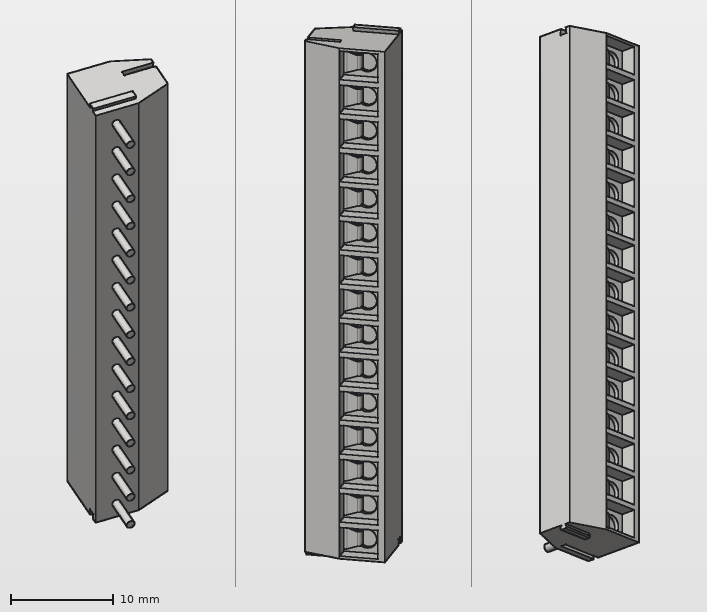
import cadquery as cq
import math

total_height = 53.45
total_width = 10.3
body_depth = 8.4
body_width = 6.85

pole_count = 15
pole_pitch = 3.5

shoulder_y = 4.6
crown_x_min = 1.35
crown_x_max = 5.35

rail_height = 0.45
tongue_height = 0.5
tongue_waist_ratio = 2 / 3
slot_depth = 0.65
dovetail_wide = 0.85
dovetail_narrow = 0.6
rail_x = 5.85
tongue_x = 2.2
rail_length = 4.6
tongue_length = 3.35

chamber_y_min = 0.7
chamber_y_max = 4.55
chamber_height = 2.95
chamber_depth = 1.6

screw_radius = 0.95
screw_y = 2.2
screw_depth = 0.5

leaf_y_min = 2.7
leaf_thickness = 0.4
leaf_wide_end = 2.45
leaf_narrow_end = 1.5
leaf_neck_y = leaf_y_min + leaf_thickness

pin_diameter = 0.85
pin_y = 2.2

body_height = total_height - rail_height - tongue_height
body_z_min = -body_height / 2
body_z_max = body_height / 2
pole_levels = [(i - (pole_count - 1) / 2) * pole_pitch for i in range(pole_count)]


def make_housing():
    outline = [
        (0, 0),
        (body_width, 0),
        (body_width, shoulder_y),
        (crown_x_max, body_depth),
        (crown_x_min, body_depth),
        (0, shoulder_y),
    ]
    base = cq.Workplane("XY", origin=(0, 0, body_z_min))
    return base.polyline(outline).close().extrude(body_height)


def make_bar(profile, y_min, length):
    """Straight bar along +Y from an outline given as (x, z) points."""
    return cq.Workplane("XZ", origin=(0, y_min, 0)).polyline(profile).close().extrude(-length)


def make_dovetail(center_x, base_z, rise, y_min, length):
    """Dovetail that is narrow at base_z and wide after rising by the signed height."""
    narrow = dovetail_narrow / 2
    wide = dovetail_wide / 2
    profile = [
        (center_x - narrow, base_z),
        (center_x + narrow, base_z),
        (center_x + wide, base_z + rise),
        (center_x - wide, base_z + rise),
    ]
    return make_bar(profile, y_min, length)


def make_tongue():
    """Six-sided tongue under the housing, widest at its waist."""
    narrow = dovetail_narrow / 2
    wide = dovetail_wide / 2
    waist_z = body_z_min - tongue_height * tongue_waist_ratio
    tip_z = body_z_min - tongue_height
    profile = [
        (tongue_x - narrow, body_z_min),
        (tongue_x + narrow, body_z_min),
        (tongue_x + wide, waist_z),
        (tongue_x + narrow, tip_z),
        (tongue_x - narrow, tip_z),
        (tongue_x - wide, waist_z),
    ]
    return make_bar(profile, body_depth - tongue_length, tongue_length)


def make_chamber(level):
    """Space to remove: rectangular chamber with a round screw hole in its floor."""
    corner = cq.Workplane("XY", origin=(0, chamber_y_min, level))
    chamber_length = chamber_y_max - chamber_y_min
    chamber = corner.box(chamber_depth, chamber_length, chamber_height, centered=(False, False, True))
    floor = cq.Workplane("YZ", origin=(chamber_depth, screw_y, level))
    return chamber.union(floor.circle(screw_radius).extrude(screw_depth))


def make_leaf(level):
    """Tapered leaf with rounded ends, standing on the floor of the chamber and of the screw hole."""
    top_x = chamber_depth - leaf_thickness
    bottom_x = chamber_depth + screw_depth
    arc_inset = leaf_thickness * (1 - math.sqrt(0.5))
    arc_x = top_x + arc_inset
    side = (
        cq.Workplane("XY")
        .moveTo(bottom_x, leaf_y_min)
        .lineTo(chamber_depth, leaf_y_min)
        .threePointArc((arc_x, leaf_y_min + arc_inset), (top_x, leaf_neck_y))
        .lineTo(top_x, chamber_y_max - leaf_thickness)
        .threePointArc((arc_x, chamber_y_max - arc_inset), (chamber_depth, chamber_y_max))
        .lineTo(bottom_x, chamber_y_max)
        .close()
        .extrude(chamber_height / 2, both=True)
    )
    plan = [
        (leaf_y_min, -leaf_narrow_end / 2),
        (leaf_neck_y, -leaf_narrow_end / 2),
        (chamber_y_max, -leaf_wide_end / 2),
        (chamber_y_max, leaf_wide_end / 2),
        (leaf_neck_y, leaf_narrow_end / 2),
        (leaf_y_min, leaf_narrow_end / 2),
    ]
    taper = cq.Workplane("YZ").polyline(plan).close().extrude(body_width)
    return side.intersect(taper).translate((0, 0, level))


def make_pin(level):
    base = cq.Workplane("YZ", origin=(body_width, pin_y, level))
    return base.circle(pin_diameter / 2).extrude(total_width - body_width)


result = make_housing()

result = result.cut(make_dovetail(rail_x, body_z_min, slot_depth, 0, rail_length))
result = result.cut(make_dovetail(tongue_x, body_z_max, -slot_depth, body_depth - tongue_length, tongue_length))
result = result.union(make_dovetail(rail_x, body_z_max, rail_height, 0, rail_length))
result = result.union(make_tongue())

for level in pole_levels:
    result = result.cut(make_chamber(level))
    result = result.union(make_leaf(level))
    result = result.union(make_pin(level))